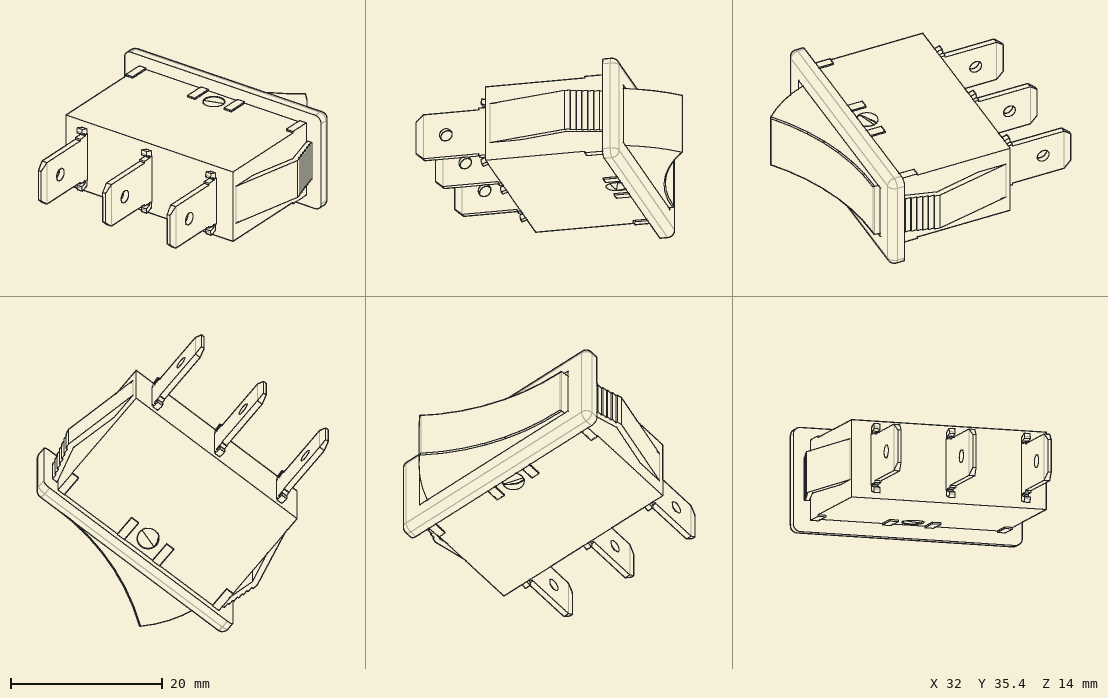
import cadquery as cq
import math


bezel_length = 32.0
bezel_width = 14.0
bezel_thickness = 2.0
bezel_corner_radius = 1.0
bezel_edge_radius = 0.95

body_length = 27.2
body_width = 10.4
body_depth = 16.5

rib_length = 3.0
inner_rib_width = 1.2
outer_rib_width = 1.1
rib_height = 0.2
inner_rib_center = 2.95

clip_width = 5.5
clip_root = 13.75
clip_step_start = 14.5
clip_step_count = 6
clip_step_length = 0.75
clip_step_rise = 0.2
clip_peak = 15.93
clip_peak_depth = 5.15
clip_thickness = 0.8
clip_inner_end = 11.83
clip_outer_end = 15.85

terminal_count = 3
terminal_pitch = 10.5
terminal_thickness = 0.8
terminal_length = 10.17
blade_width = 6.2
blade_hole_diameter = 1.7
blade_hole_reach = 6.08
shoulder_width = 6.7
shoulder_length = 1.62
tip_bevel_length = 1.05
tip_side_bevel = 0.92
tip_thickness = 0.45

ear_gap = 0.15
ear_neck_end = 0.45
ear_root_height = 3.43
ear_heel_height = 4.27
ear_tip_corners = [(1.15, 4.63), (1.27, 4.17), (1.27, 3.92)]
ear_crook_corners = [(0.55, 3.7), (ear_neck_end, 3.5)]

rocker_tilt = 17.5
rocker_width = 8.05
rocker_rim_height = 8.1
rocker_dish = 1.65
rocker_half_length = 12.08
rocker_flank_radius = 16.95
rocker_edge_radius = 0.18

pivot_depth = 2.0
pin_diameter = 2.8
pin_hole_diameter = 2.9
pin_bevel_drop = 1.13
pin_end_recess = 0.07

cavity_length = 25.43
cavity_side_clearance = 0.05
cavity_depth = 7.25


def make_bezel():
    bezel = cq.Workplane("XY").box(
        bezel_length, bezel_thickness, bezel_width, centered=(True, False, True)
    )
    bezel = bezel.edges("|Y").fillet(bezel_corner_radius)
    return bezel.faces(">Y").edges().fillet(bezel_edge_radius)


def make_body():
    body = cq.Workplane("XY").box(body_length, body_depth, body_width)
    return body.translate((0, -body_depth / 2, 0))


def make_rib_bars(center, width):
    """Pair of bars at -center and +center in X, standing proud of both long sides of the body."""
    return (
        cq.Workplane("XY")
        .pushPoints([(-center, -rib_length / 2), (center, -rib_length / 2)])
        .rect(width, rib_length)
        .extrude(body_width / 2 + rib_height, both=True)
    )


def make_clip():
    """Spring clip on the +X side."""
    body_side = body_length / 2
    points = [(clip_root, 0)]
    for step in range(clip_step_count):
        x = clip_step_start + step * clip_step_rise
        points.append((x, -step * clip_step_length))
        points.append((x, -(step + 1) * clip_step_length))
    points += [
        (clip_step_start + clip_step_count * clip_step_rise, -clip_step_count * clip_step_length),
        (clip_peak, -clip_peak_depth),
        (body_side, -clip_outer_end),
        (body_side, -clip_inner_end),
        (clip_peak - clip_thickness, -clip_peak_depth),
    ]
    return cq.Workplane("XY").polyline(points).close().extrude(clip_width / 2, both=True)


def make_terminal():
    """Blade with two bent ears, lying in the YZ plane with its root at the back of the body."""
    half_blade = blade_width / 2
    half_shoulder = shoulder_width / 2
    half_outline = [
        (0, ear_root_height),
        (ear_gap, ear_root_height),
        (ear_gap, ear_heel_height),
        *ear_tip_corners,
        *ear_crook_corners,
        (ear_neck_end, half_shoulder),
        (shoulder_length, half_shoulder),
        (shoulder_length, half_blade),
        (terminal_length - tip_bevel_length, half_blade),
        (terminal_length, half_blade - tip_side_bevel),
    ]
    upper = [(-body_depth - reach, z) for reach, z in half_outline]
    lower = [(y, -z) for y, z in reversed(upper)]
    plate = cq.Workplane("YZ").polyline(upper + lower).close().extrude(terminal_thickness / 2, both=True)

    tip_y = -body_depth - terminal_length
    taper_y = tip_y + tip_bevel_length
    half_profile = [
        (terminal_thickness / 2, -body_depth),
        (terminal_thickness / 2, taper_y),
        (tip_thickness / 2, tip_y),
    ]
    profile = half_profile + [(-x, y) for x, y in reversed(half_profile)]
    tapered = cq.Workplane("XY").polyline(profile).close().extrude(body_width / 2, both=True)

    hole = (
        cq.Workplane("YZ", origin=(-terminal_thickness, -body_depth - blade_hole_reach, 0))
        .circle(blade_hole_diameter / 2)
        .extrude(2 * terminal_thickness)
    )
    return plate.intersect(tapered).cut(hole)


def make_cavity():
    """Rectangular well for the rocker, open at the front of the bezel."""
    height = bezel_thickness + cavity_depth
    width = rocker_width + 2 * cavity_side_clearance
    well = cq.Workplane("XY").box(cavity_length, height, width)
    return well.translate((0, bezel_thickness - height / 2, 0))


def make_pivot_hole():
    return (
        cq.Workplane("XY", origin=(0, -pivot_depth, -body_width))
        .circle(pin_hole_diameter / 2)
        .extrude(2 * body_width)
    )


def make_housing():
    clip = make_clip()
    housing = make_bezel().union(make_body())
    housing = housing.union(make_rib_bars(inner_rib_center, inner_rib_width))
    housing = housing.union(make_rib_bars((body_length - outer_rib_width) / 2, outer_rib_width))
    housing = housing.union(clip).union(clip.mirror("YZ"))
    terminal = make_terminal()
    for index in range(terminal_count):
        x = (index - (terminal_count - 1) / 2) * terminal_pitch
        housing = housing.union(terminal.translate((x, 0, 0)))
    return housing.cut(make_cavity()).cut(make_pivot_hole())


def make_rocker_paddle():
    """Dished block with bulging flanks, level about the pivot at the origin."""
    flank_center = rocker_half_length - rocker_flank_radius

    def flank_x(y):
        return flank_center + math.sqrt(rocker_flank_radius**2 - y**2)

    bottom = -pin_diameter / 2
    half_chord = flank_x(rocker_rim_height)
    middle = (bottom + rocker_rim_height) / 2
    paddle = (
        cq.Workplane("XY")
        .moveTo(-flank_x(bottom), bottom)
        .lineTo(flank_x(bottom), bottom)
        .threePointArc((flank_x(middle), middle), (half_chord, rocker_rim_height))
        .threePointArc((0, rocker_rim_height - rocker_dish), (-half_chord, rocker_rim_height))
        .threePointArc((-flank_x(middle), middle), (-flank_x(bottom), bottom))
        .close()
        .extrude(rocker_width / 2, both=True)
    )
    dished_face = paddle.faces(cq.selectors.NearestToPointSelector((0, rocker_rim_height - rocker_dish, 0)))
    return dished_face.edges().fillet(rocker_edge_radius)


def make_pivot_pin():
    """Pin through the paddle; both ends are bevelled on the half that enters the housing first."""
    radius = pin_diameter / 2
    half_length = body_width / 2 - pin_end_recess
    pin = cq.Workplane("XY").circle(radius).extrude(half_length, both=True)
    bevelled_end = half_length - pin_bevel_drop
    outline = [
        (radius, -half_length),
        (radius, half_length),
        (0, half_length),
        (-radius, bevelled_end),
        (-radius, -bevelled_end),
        (0, -half_length),
    ]
    envelope = cq.Workplane("YZ").polyline(outline).close().extrude(radius, both=True)
    return pin.intersect(envelope)


def make_rocker():
    rocker = make_rocker_paddle().union(make_pivot_pin())
    rocker = rocker.rotate((0, 0, 0), (0, 0, 1), rocker_tilt)
    return rocker.translate((0, -pivot_depth, 0))


housing = make_housing()
rocker = make_rocker()

result = cq.Compound.makeCompound([housing.solids().val(), rocker.solids().val()])